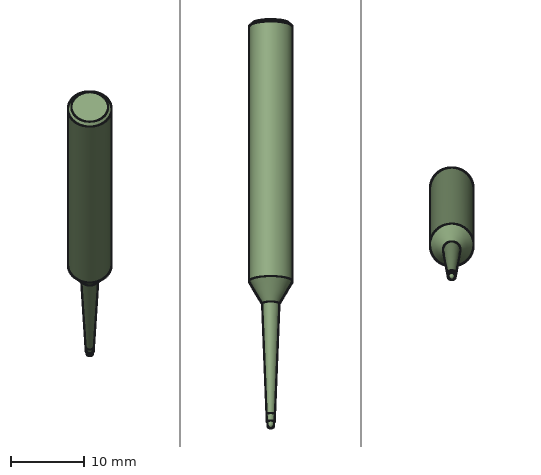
import cadquery as cq
import math

total_length = 57.0
shank_bottom = 20.7
neck_top = 17.55
joint_height = 2.0
neck_bottom = 0.95

shank_radius = 6.0 / 2
neck_top_radius = 1.2
neck_bottom_radius = 0.555
ball_radius = 0.45

neck_slope = (neck_top_radius - neck_bottom_radius) / (neck_top - neck_bottom)
joint_radius = neck_bottom_radius + neck_slope * (joint_height - neck_bottom)

chamfer_width = 0.485
chamfer_height = 0.45


def revolve_about_z(profile):
    """Turn a closed half profile, drawn as (radius, height), into a solid."""
    return profile.close().revolve(360, (0, 0), (0, 1))


def make_holder():
    """Chamfered shank, transition cone and tapered neck down to the joint."""
    outline = [
        (0, joint_height),
        (joint_radius, joint_height),
        (neck_top_radius, neck_top),
        (shank_radius, shank_bottom),
        (shank_radius, total_length - chamfer_height),
        (shank_radius - chamfer_width, total_length),
        (0, total_length),
    ]
    return revolve_about_z(cq.Workplane("XZ").polyline(outline))


def make_cutter():
    """End of the tapered neck, stepped down to a ball-nosed tip."""
    arc_offset = ball_radius * math.sqrt(0.5)
    arc_middle = (arc_offset, ball_radius - arc_offset)
    outline = (
        cq.Workplane("XZ")
        .moveTo(0, 0)
        .threePointArc(arc_middle, (ball_radius, ball_radius))
        .lineTo(ball_radius, neck_bottom)
        .lineTo(neck_bottom_radius, neck_bottom)
        .lineTo(joint_radius, joint_height)
        .lineTo(0, joint_height)
    )
    return revolve_about_z(outline)


holder = make_holder()
cutter = make_cutter()

result = cq.Compound.makeCompound([holder.val(), cutter.val()])